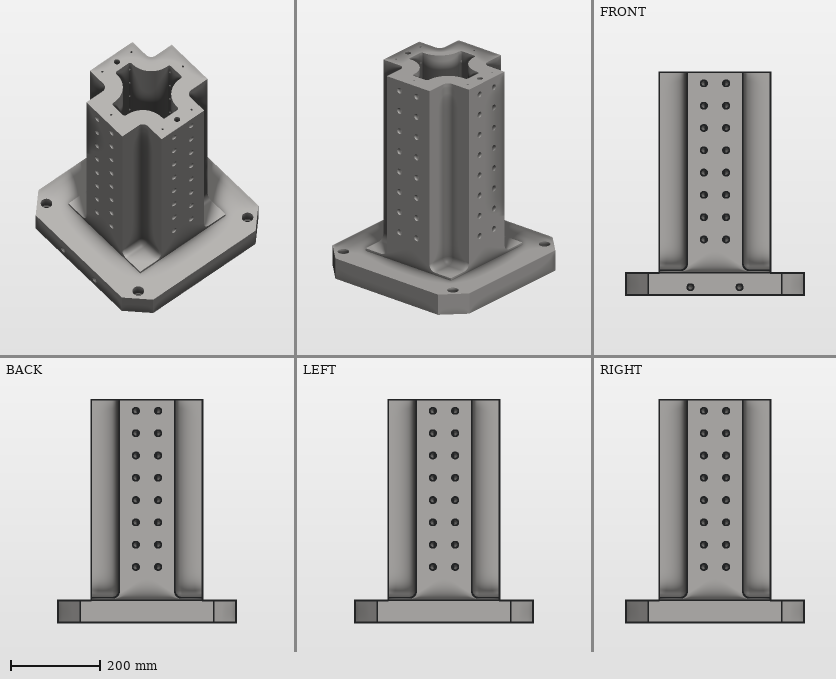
import cadquery as cq
import math

base_side = 400.0
base_thickness = 50.0
base_corner_chamfer = 50.0

total_height = 500.0
column_side = 250.0
arm_width = 125.0
pad_height = 6.0
corner_fillet = 15.0

wall_thickness = 40.0
cavity_reach = column_side / 2 - wall_thickness
cavity_half_slot = arm_width / 2 - wall_thickness
cavity_arc_radius = corner_fillet + wall_thickness
cavity_corner_fillet = 5.0

drill_point_angle = 118.0

thread_diameter = 14.0
face_hole_depth = 40.0
face_hole_offset = 25.0
face_hole_rows = 8
face_hole_pitch = 50.0
face_hole_top_margin = 25.0

base_side_hole_offset = 55.0
base_side_hole_height = 18.0
base_side_hole_depth = 30.0

top_hole_depth = 30.0
top_hole_reach = 105.0

dowel_diameter = 5.0
dowel_depth = 10.0
dowel_side_offset = 42.5

mount_offset = 160.0
mount_diameter = 18.0
mount_bore_diameter = 26.0
mount_bore_depth = 25.0


def base_plate():
    plate = cq.Workplane("XY").box(base_side, base_side, base_thickness, centered=(True, True, False))
    return plate.edges("|Z").chamfer(base_corner_chamfer)


def column():
    """Square column with a rounded recess cut out of each vertical corner."""
    height = total_height - base_thickness
    body = (
        cq.Workplane("XY")
        .workplane(offset=base_thickness)
        .box(column_side, column_side, height, centered=(True, True, False))
    )
    recess = (
        cq.Workplane("XY")
        .box(column_side, column_side, total_height, centered=False)
        .edges("(<X and <Y) or (<X and <Z) or (<Y and <Z)")
        .fillet(corner_fillet)
        .translate((arm_width / 2, arm_width / 2, base_thickness + pad_height))
    )
    for quarter in range(4):
        body = body.cut(recess.rotate((0, 0, 0), (0, 0, 1), 90 * quarter))
    return body


def cavity():
    """Four-armed opening: a square whose corners are filled by convex round lobes."""
    lobe_size = cavity_reach - cavity_half_slot
    opening = cq.Workplane("XY").rect(2 * cavity_reach, 2 * cavity_reach).extrude(total_height)
    lobe = (
        cq.Workplane("XY")
        .box(lobe_size, lobe_size, total_height, centered=False)
        .edges("|Z and <X and <Y")
        .fillet(cavity_arc_radius)
        .translate((cavity_half_slot, cavity_half_slot, 0))
    )
    for quarter in range(4):
        opening = opening.cut(lobe.rotate((0, 0, 0), (0, 0, 1), 90 * quarter))
    slot_ends = "|Z and (<X or >X or <Y or >Y)"
    return opening.edges(slot_ends).fillet(cavity_corner_fillet)


def drilled_hole(position, direction, diameter, depth):
    """Blind hole with a conical drill point."""
    radius = diameter / 2
    point_length = radius / math.tan(math.radians(drill_point_angle / 2))
    start = cq.Vector(*position)
    axis = cq.Vector(*direction)
    shank = cq.Solid.makeCylinder(radius, depth, start, axis)
    point = cq.Solid.makeCone(radius, 0, point_length, start + axis * depth, axis)
    return cq.Workplane(shank.fuse(point))


def face_holes():
    """Two columns of threaded holes in the end face of each column arm."""
    one_face = cq.Workplane("XY")
    for side in (-1, 1):
        for row in range(face_hole_rows):
            height = total_height - face_hole_top_margin - row * face_hole_pitch
            position = (side * face_hole_offset, -column_side / 2, height)
            one_face = one_face.add(drilled_hole(position, (0, 1, 0), thread_diameter, face_hole_depth))
    one_face = one_face.combine()
    holes = cq.Workplane("XY")
    for quarter in range(4):
        holes = holes.add(one_face.rotate((0, 0, 0), (0, 0, 1), 90 * quarter))
    return holes.combine()


def base_edge_holes():
    """Pair of threaded holes in the -Y edge of the base."""
    holes = cq.Workplane("XY")
    for side in (-1, 1):
        position = (side * base_side_hole_offset, -base_side / 2, base_side_hole_height)
        holes = holes.add(drilled_hole(position, (0, 1, 0), thread_diameter, base_side_hole_depth))
    return holes.combine()


def top_holes():
    """One threaded hole in the top of each X arm."""
    holes = cq.Workplane("XY")
    for side in (-1, 1):
        position = (side * top_hole_reach, 0, total_height)
        holes = holes.add(drilled_hole(position, (0, 0, -1), thread_diameter, top_hole_depth))
    return holes.combine()


def dowel_holes():
    """Dowel holes in the top: one on each Y arm and a pair on each X arm."""
    points = []
    for side in (-1, 1):
        points.append((0, side * top_hole_reach))
        for end in (-1, 1):
            points.append((side * top_hole_reach, end * dowel_side_offset))
    holes = cq.Workplane("XY")
    for x, y in points:
        holes = holes.add(drilled_hole((x, y, total_height), (0, 0, -1), dowel_diameter, dowel_depth))
    return holes.combine()


def mount_cylinders(diameter, depth):
    """Cylinders at the four mounting points, reaching down from the base's upper face."""
    return (
        cq.Workplane("XY")
        .workplane(offset=base_thickness - depth)
        .rect(2 * mount_offset, 2 * mount_offset, forConstruction=True)
        .vertices()
        .circle(diameter / 2)
        .extrude(depth)
    )


result = (
    base_plate()
    .union(column())
    .cut(cavity())
    .cut(face_holes())
    .cut(base_edge_holes())
    .cut(top_holes())
    .cut(dowel_holes())
    .cut(mount_cylinders(mount_diameter, base_thickness))
    .cut(mount_cylinders(mount_bore_diameter, mount_bore_depth))
)